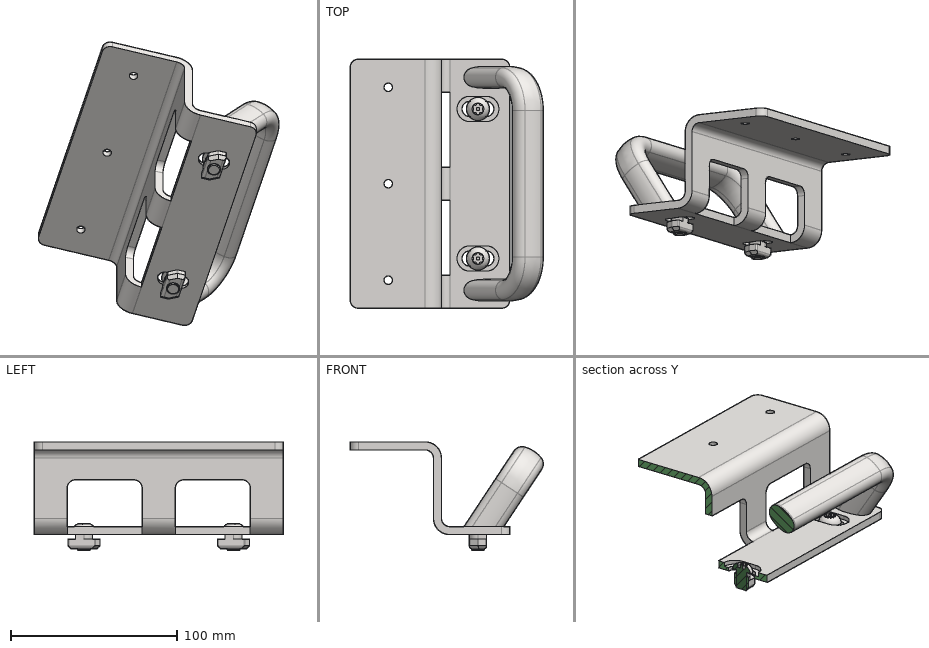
import cadquery as cq
import math

WIDTH = 150.0
SHEET = 5.0
HEIGHT = 56.0
WEB_X = 50.1
LOWER_FLANGE_END = 96.2
BEND_INNER = 5.0
BEND_OUTER = BEND_INNER + SHEET
CORNER_RADIUS = 5.0

HOLE_DIAMETER = 5.0
HOLE_X = 23.0
HOLE_PITCH = 58.0
HOLE_COUNT = 3

WINDOW_COUNT = 2
WINDOW_WIDTH = 45.0
WINDOW_TOP = 33.0
WINDOW_CORNER = 5.0
RIB_WIDTH = 20.1

SLOT_X = 77.0
SLOT_Y = 45.0
SLOT_TRAVEL = 10.0
SLOT_WIDTH = 9.0
RECESS_WIDTH = 15.2
RECESS_DEPTH = 2.5
RECESS_FLOOR = SHEET - RECESS_DEPTH

SHANK_DIAMETER = 8.0
SHANK_LENGTH = 12.0
TIP_CHAMFER = 0.6
HEAD_DIAMETER = 14.0
HEAD_HEIGHT = 4.4
HEAD_FLAT_DIAMETER = 7.0
DOME_MID_RADIUS = 5.8
DOME_MID_HEIGHT = 2.5
SOCKET_DIAMETER = 6.8
SOCKET_DEPTH = 2.2
LOBES = 6
RIDGE_DIAMETER = 1.5
PIN_DIAMETER = 2.0

NUT_WIDTH = 10.5
NUT_LENGTH = 19.5
NUT_HEIGHT = 5.8
NECK_HEIGHT = 2.7
NUT_CUT_LENGTH = 3.0
NUT_END_CHAMFER = 2.1
NUT_SIDE_FILLET = 1.8
NUT_CORNER_FILLET = 0.8

LEAN = math.radians(33.5)
HANDLE_BASE_X = 80.5
LEG_Y = 64.0
GRIP_RISE = 39.9
HANDLE_BEND = 20.0
OVAL_HALF_LENGTH = 10.0
OVAL_HALF_WIDTH = 6.6
OVAL_END_RADIUS = 6.0


def slot_pair(width, bottom, depth):
    """Two round-ended cutters along X, one for each fastener."""
    return (
        cq.Workplane("XY", origin=(SLOT_X, 0, bottom))
        .pushPoints([(0, -SLOT_Y), (0, SLOT_Y)])
        .slot2D(SLOT_TRAVEL + width, width)
        .extrude(depth)
    )


def make_bracket():
    """Bent sheet with its holes, windows and recessed slots."""
    web_outer_x = WEB_X + SHEET
    body = (
        cq.Workplane("XZ", origin=(0, WIDTH / 2, 0))
        .moveTo(0, HEIGHT)
        .lineTo(web_outer_x - BEND_OUTER, HEIGHT)
        .radiusArc((web_outer_x, HEIGHT - BEND_OUTER), BEND_OUTER)
        .lineTo(web_outer_x, BEND_OUTER)
        .radiusArc((web_outer_x + BEND_INNER, SHEET), -BEND_INNER)
        .lineTo(LOWER_FLANGE_END, SHEET)
        .lineTo(LOWER_FLANGE_END, 0)
        .lineTo(WEB_X + BEND_OUTER, 0)
        .radiusArc((WEB_X, BEND_OUTER), BEND_OUTER)
        .lineTo(WEB_X, HEIGHT - BEND_OUTER)
        .radiusArc((WEB_X - BEND_INNER, HEIGHT - SHEET), -BEND_INNER)
        .lineTo(0, HEIGHT - SHEET)
        .close()
        .extrude(WIDTH)
    )
    body = body.edges("|Z").edges("<X or >X").fillet(CORNER_RADIUS)

    holes = (
        cq.Workplane("XY", origin=(HOLE_X, 0, HEIGHT - SHEET))
        .rarray(1.5, HOLE_PITCH, 1, HOLE_COUNT)
        .circle(HOLE_DIAMETER / 2)
        .extrude(SHEET)
    )
    windows = (
        cq.Workplane("XY", origin=(WEB_X, 0, 0))
        .rarray(1.5, WINDOW_WIDTH + RIB_WIDTH, 1, WINDOW_COUNT)
        .box(BEND_OUTER, WINDOW_WIDTH, WINDOW_TOP, centered=(False, True, False))
        .edges("|X and >Z")
        .fillet(WINDOW_CORNER)
    )
    slots = slot_pair(SLOT_WIDTH, 0, SHEET)
    recesses = slot_pair(RECESS_WIDTH, RECESS_FLOOR, RECESS_DEPTH)
    return body.cut(holes).cut(windows).cut(slots).cut(recesses)


def make_handle():
    """Oval bar swept round two bends, its legs standing on the lower flange."""
    along = cq.Vector(math.sin(LEAN), 0, math.cos(LEAN))
    across = cq.Vector(math.cos(LEAN), 0, -math.sin(LEAN))
    base = cq.Vector(HANDLE_BASE_X, 0, SHEET)
    sunk = OVAL_HALF_LENGTH
    grip = GRIP_RISE / math.cos(LEAN)

    bend_y = LEG_Y - HANDLE_BEND
    bend_mid_y = bend_y + HANDLE_BEND * math.sin(math.pi / 4)
    bend_mid_height = grip - HANDLE_BEND * (1 - math.cos(math.pi / 4))
    path = (
        cq.Workplane(cq.Plane(base, xDir=(0, 1, 0), normal=across))
        .moveTo(-LEG_Y, -sunk)
        .lineTo(-LEG_Y, grip - HANDLE_BEND)
        .threePointArc((-bend_mid_y, bend_mid_height), (-bend_y, grip))
        .lineTo(bend_y, grip)
        .threePointArc((bend_mid_y, bend_mid_height), (LEG_Y, grip - HANDLE_BEND))
        .lineTo(LEG_Y, -sunk)
    )

    a, b, r = OVAL_HALF_LENGTH, OVAL_HALF_WIDTH, OVAL_END_RADIUS
    side_radius = (a**2 - 2 * a * r + b**2) / (2 * (b - r))
    joint_angle = math.atan2(side_radius - b, a - r)
    joint_x = side_radius * math.cos(joint_angle)
    joint_y = r * math.sin(joint_angle)
    start = base - along * sunk - cq.Vector(0, LEG_Y, 0)
    bar = (
        cq.Workplane(cq.Plane(start, xDir=across, normal=along))
        .moveTo(joint_x, -joint_y)
        .threePointArc((a, 0), (joint_x, joint_y))
        .threePointArc((0, b), (-joint_x, joint_y))
        .threePointArc((-a, 0), (-joint_x, -joint_y))
        .threePointArc((0, -b), (joint_x, -joint_y))
        .close()
        .sweep(path)
    )
    below_flange_top = (
        cq.Workplane("XY", origin=(HANDLE_BASE_X, 0, SHEET)).rect(WIDTH, WIDTH).extrude(-WIDTH)
    )
    return bar.cut(below_flange_top)


def make_screw(y):
    """Button-head screw with a pinned six-lobe socket, its head resting on the recess floor."""
    screw = (
        cq.Workplane("XZ")
        .moveTo(0, HEAD_HEIGHT)
        .lineTo(HEAD_FLAT_DIAMETER / 2, HEAD_HEIGHT)
        .threePointArc((DOME_MID_RADIUS, DOME_MID_HEIGHT), (HEAD_DIAMETER / 2, 0))
        .lineTo(SHANK_DIAMETER / 2, 0)
        .lineTo(SHANK_DIAMETER / 2, TIP_CHAMFER - SHANK_LENGTH)
        .lineTo(SHANK_DIAMETER / 2 - TIP_CHAMFER, -SHANK_LENGTH)
        .lineTo(0, -SHANK_LENGTH)
        .close()
        .revolve(360, (0, 0, 0), (0, 1, 0))
    )
    floor = cq.Workplane("XY", origin=(0, 0, HEAD_HEIGHT - SOCKET_DEPTH))
    ridges = (
        floor.polarArray(SOCKET_DIAMETER / 2, 0, 360, LOBES)
        .circle(RIDGE_DIAMETER / 2)
        .extrude(SOCKET_DEPTH)
    )
    pin = floor.circle(PIN_DIAMETER / 2).extrude(SOCKET_DEPTH)
    socket = floor.circle(SOCKET_DIAMETER / 2).extrude(SOCKET_DEPTH).cut(ridges).cut(pin)
    return screw.cut(socket).translate((SLOT_X, y, RECESS_FLOOR))


def make_nut(y):
    """Turn-in slot nut under the flange, with two opposite corners relieved for turning."""
    half_width = NUT_WIDTH / 2
    half_length = NUT_LENGTH / 2
    half_plan = [
        (-half_width, -half_length + NUT_CUT_LENGTH),
        (0, -half_length),
        (half_width, -half_length),
    ]
    plan = half_plan + [(-x, -y_along) for x, y_along in half_plan]
    blank = (
        cq.Workplane("XY", origin=(0, 0, -NECK_HEIGHT)).polyline(plan).close().extrude(-NUT_HEIGHT)
    )
    bevelled = (
        blank.faces("<Z").edges("not |Y").chamfer(NUT_END_CHAMFER)
        .faces("<Z").edges("|Y").fillet(NUT_SIDE_FILLET)
    )
    head = bevelled.intersect(blank.edges("|Z").fillet(NUT_CORNER_FILLET))
    neck = (
        cq.Workplane("XY")
        .moveTo(0, -half_width)
        .lineTo(half_width, -half_width)
        .lineTo(half_width, 0)
        .radiusArc((0, half_width), -half_width)
        .lineTo(-half_width, half_width)
        .lineTo(-half_width, 0)
        .radiusArc((0, -half_width), -half_width)
        .close()
        .extrude(-NECK_HEIGHT)
    )
    bore = cq.Workplane("XY").circle(SHANK_DIAMETER / 2).extrude(-NECK_HEIGHT - NUT_HEIGHT)
    return head.union(neck).cut(bore).translate((SLOT_X, y, 0))


bracket = make_bracket()
handle = make_handle()
screws = [make_screw(y) for y in (-SLOT_Y, SLOT_Y)]
nuts = [make_nut(y) for y in (-SLOT_Y, SLOT_Y)]

result = cq.Compound.makeCompound(
    [bracket.val(), handle.val(), *[screw.val() for screw in screws], *[nut.val() for nut in nuts]]
)